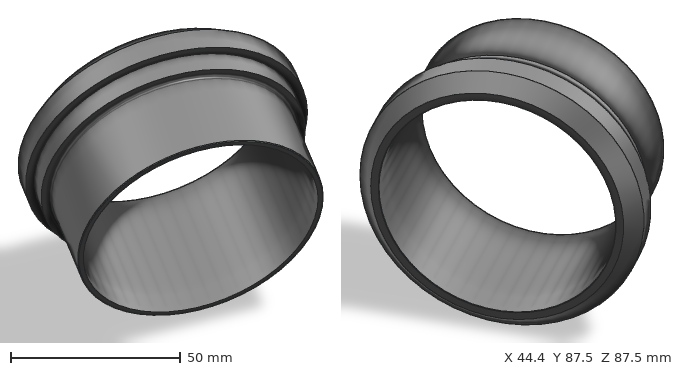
import cadquery as cq

length = 44.4
bore_diameter = 72.9
tube_diameter = 76.2
collar_diameter = 82.0
flange_diameter = 87.5
seat_diameter = 77.9

cone_end = 4.9
flange_end = 12.1
collar_end = 18.4

fillet_radius = 1.05
end_chamfer = 0.3
bore_chamfer = 0.2

bore_radius = bore_diameter / 2
tube_radius = tube_diameter / 2
collar_radius = collar_diameter / 2
flange_radius = flange_diameter / 2
seat_radius = seat_diameter / 2

section = (
    cq.Workplane("XY")
    .moveTo(bore_chamfer, bore_radius)
    .lineTo(0, bore_radius + bore_chamfer)
    .lineTo(0, seat_radius)
    .lineTo(cone_end, flange_radius)
    .lineTo(flange_end, flange_radius)
    .lineTo(flange_end, collar_radius)
    .lineTo(collar_end, collar_radius)
    .lineTo(collar_end, tube_radius + fillet_radius)
    .radiusArc((collar_end + fillet_radius, tube_radius), -fillet_radius)
    .lineTo(length - end_chamfer, tube_radius)
    .lineTo(length, tube_radius - end_chamfer)
    .lineTo(length, bore_radius)
    .close()
)

result = section.revolve(360, (0, 0, 0), (1, 0, 0))